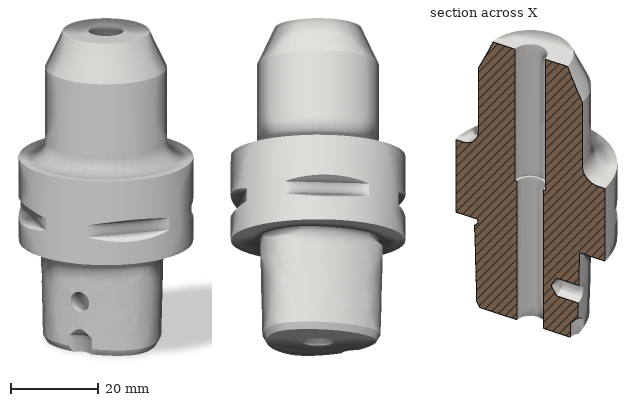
import cadquery as cq
import math

total_height = 74.0
shank_height = 24.0
flange_height = 20.0
flange_top = shank_height + flange_height

flange_radius = 40.0 / 2
nose_radius = 14.0
nose_top_radius = 10.0
nose_taper_angle = 25.0
fillet_radius = 4.0
nose_taper_height = (nose_radius - nose_top_radius) / math.tan(math.radians(nose_taper_angle))

shank_mean_radius = 14.05
lobe_height = 0.9
shank_taper = 1 / 40
shank_straight_height = 2.5
shank_chamfer_height = 1.55
shank_chamfer_width = 0.9

relief_top_radius = 14.2
relief_radius = 14.05
relief_wall_height = 0.7
relief_arc_radius = 1.1

bore_radius = 4.0
bore_depth = 36.0
through_hole_radius = 3.5

groove_directions = (45, 135, 225, 315)
groove_height = 2.8
groove_center = shank_height + 8.0
groove_floor_distance = 17.5
groove_flare = 1.2

side_hole_radius = 2.4
side_hole_height = 12.6
side_hole_bottom_distance = 7.0
drill_tip_angle = 118.0

notch_radius = 3.4
notch_axis_distance = 14.1
notch_wall_height = 4.0


def turned_body():
    """Flange and tapered nose, joined by a concave fillet."""
    fillet_middle = fillet_radius * (1 - math.sqrt(0.5))
    profile = (
        cq.Workplane("XZ")
        .moveTo(0, shank_height)
        .lineTo(flange_radius, shank_height)
        .lineTo(flange_radius, flange_top)
        .lineTo(nose_radius + fillet_radius, flange_top)
        .threePointArc(
            (nose_radius + fillet_middle, flange_top + fillet_middle),
            (nose_radius, flange_top + fillet_radius),
        )
        .lineTo(nose_radius, total_height - nose_taper_height)
        .lineTo(nose_top_radius, total_height)
        .lineTo(0, total_height)
        .close()
    )
    return profile.revolve(360, (0, 0, 0), (0, 1, 0))


def lobed_section(height, inset):
    """Constant-width curve with three lobes, one of them toward +Y."""
    radius = shank_mean_radius - inset

    def point(turn):
        angle = 2 * math.pi * turn
        reach = radius - lobe_height * math.sin(3 * angle)
        slope = -3 * lobe_height * math.cos(3 * angle)
        return (
            reach * math.cos(angle) - slope * math.sin(angle),
            reach * math.sin(angle) + slope * math.cos(angle),
        )

    return cq.Workplane("XY", origin=(0, 0, height)).parametricCurve(point, N=72)


def lofted(bottom_height, bottom_inset, top_height, top_inset):
    """Solid between two lobed sections."""
    bottom = lobed_section(bottom_height, bottom_inset).val()
    top = lobed_section(top_height, top_inset).val()
    return cq.Workplane(cq.Solid.makeLoft([bottom, top], True))


def shank():
    """Chamfered tip, tapered middle and straight top of the lobed shank."""
    taper_top = shank_height - shank_straight_height
    taper_inset = (taper_top - shank_chamfer_height) * shank_taper
    tip = lofted(0, taper_inset + shank_chamfer_width, shank_chamfer_height, taper_inset)
    middle = lofted(shank_chamfer_height, taper_inset, taper_top, 0)
    straight = lofted(taper_top, 0, shank_height, 0)
    return tip.union(middle).union(straight)


def relief():
    """Ring that trims the lobes below the flange, with a rounded lower run-out."""
    wall_bottom = shank_height - relief_wall_height
    outer_radius = relief_radius + relief_arc_radius
    arc_middle = relief_arc_radius * math.sqrt(0.5)
    profile = (
        cq.Workplane("XZ")
        .moveTo(relief_top_radius, shank_height)
        .lineTo(relief_radius, wall_bottom)
        .threePointArc(
            (outer_radius - arc_middle, wall_bottom - arc_middle),
            (outer_radius, wall_bottom - relief_arc_radius),
        )
        .lineTo(outer_radius, shank_height)
        .close()
    )
    return profile.revolve(360, (0, 0, 0), (0, 1, 0))


def bore():
    """Stepped bore, wide from the top and narrow to the bottom."""
    narrow = cq.Workplane("XY").circle(through_hole_radius).extrude(total_height)
    wide = cq.Workplane("XY", origin=(0, 0, total_height)).circle(bore_radius).extrude(-bore_depth)
    return narrow.union(wide)


def flange_groove(direction):
    """Straight groove with a flat floor and flared sides."""
    half = groove_height / 2
    flared_half = half + groove_flare
    profile = (
        cq.Workplane("XZ", origin=(0, 0, groove_center))
        .moveTo(groove_floor_distance, -half)
        .lineTo(flange_radius, -flared_half)
        .lineTo(flange_radius, flared_half)
        .lineTo(groove_floor_distance, half)
        .close()
    )
    groove = profile.extrude(flange_radius, both=True)
    return groove.rotate((0, 0, 0), (0, 0, 1), direction)


def side_hole():
    """Blind drilled hole entering from -Y."""
    tip_depth = side_hole_radius / math.tan(math.radians(drill_tip_angle / 2))
    profile = (
        cq.Workplane("XY", origin=(0, 0, side_hole_height))
        .moveTo(0, -flange_radius)
        .lineTo(side_hole_radius, -flange_radius)
        .lineTo(side_hole_radius, -side_hole_bottom_distance)
        .lineTo(0, tip_depth - side_hole_bottom_distance)
        .close()
    )
    return profile.revolve(360, (0, 0, 0), (0, 1, 0))


def notch():
    """Upright round notch with a 45 degree conical end."""
    profile = (
        cq.Workplane("XZ", origin=(0, -notch_axis_distance, 0))
        .lineTo(notch_radius, 0)
        .lineTo(notch_radius, notch_wall_height)
        .lineTo(0, notch_wall_height + notch_radius)
        .close()
    )
    return profile.revolve(360, (0, 0, 0), (0, 1, 0))


result = turned_body().union(shank().cut(relief()))
for direction in groove_directions:
    result = result.cut(flange_groove(direction))
result = result.cut(bore()).cut(side_hole()).cut(notch())